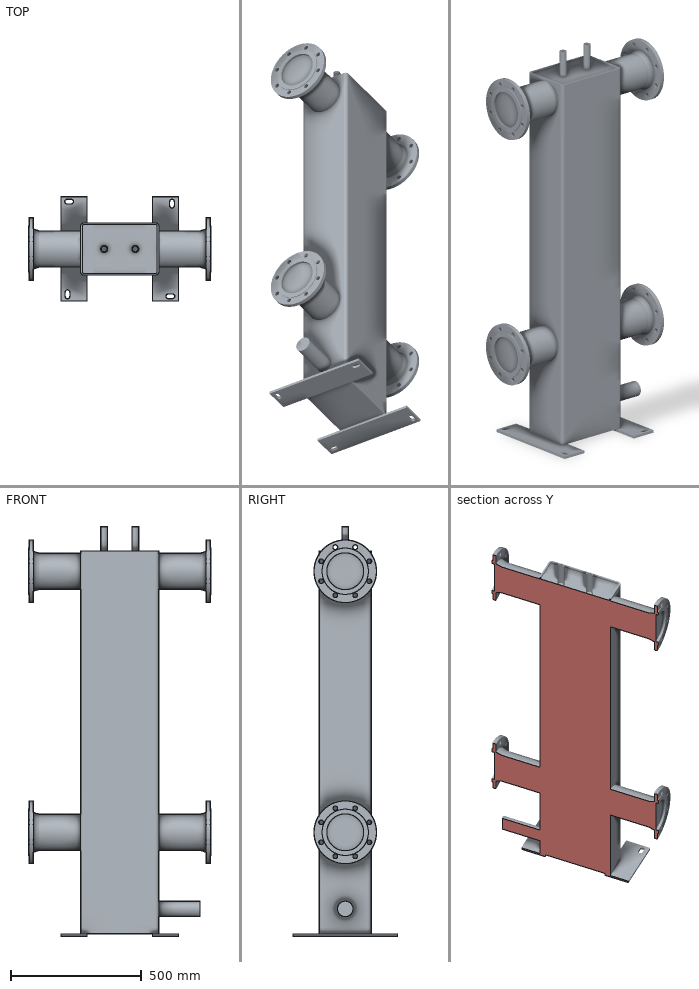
import cadquery as cq

BODY_LENGTH = 300.0
BODY_WIDTH = 200.0
BODY_TOP = 1477.0
CORNER_RADIUS = 13.0
WALL = 6.0
LID_RECESS = 8.0

STRIP_LENGTH = 400.0
STRIP_WIDTH = 100.0
STRIP_THICKNESS = 10.0
STRIP_SPAN = 450.0
SLOT_LENGTH = 33.0
SLOT_DIAMETER = 17.0
CROSS_SLOT_INSETS = (31.0, 19.0)
LONG_SLOT_INSETS = (25.0, 27.0)

NOZZLE_SPAN = 700.0
LOWER_NOZZLE_Z = 399.0
NOZZLE_PITCH = 1000.0
PIPE_DIAMETER = 140.0
FACE_DIAMETER = 177.0
FACE_HEIGHT = 3.0
FLANGE_DIAMETER = 240.0
FLANGE_THICKNESS = 15.0
NECK_DIAMETER = 154.0
NECK_LENGTH = 22.0
PORT_DIAMETER = 141.0
PORT_DEPTH = 10.0
NOZZLE_LEVELS = 2
BOLT_COUNT = 8
BOLT_CIRCLE = 200.0
BOLT_HOLE_DIAMETER = 17.0

VENT_TOP = 1570.0
VENT_COUNT = 2
VENT_SPACING = 120.0
VENT_DIAMETER = 27.0
VENT_BORE = 22.0

DRAIN_DIAMETER = 60.0
DRAIN_END_X = 308.0
DRAIN_Z = 105.0

LID_Z = BODY_TOP - LID_RECESS
INNER_WALL_X = BODY_LENGTH / 2 - WALL


def make_body():
    body = (
        cq.Workplane("XY", origin=(0, 0, STRIP_THICKNESS))
        .rect(BODY_LENGTH, BODY_WIDTH)
        .extrude(BODY_TOP - STRIP_THICKNESS)
        .edges("|Z")
        .fillet(CORNER_RADIUS)
    )
    recess = (
        cq.Workplane("XY", origin=(0, 0, LID_Z))
        .rect(BODY_LENGTH - 2 * WALL, BODY_WIDTH - 2 * WALL)
        .extrude(LID_RECESS)
        .edges("|Z")
        .fillet(CORNER_RADIUS - WALL)
    )
    return body.cut(recess)


def make_left_strip():
    outer_x = -STRIP_SPAN / 2
    end_y = STRIP_LENGTH / 2
    strip = cq.Workplane("XY", origin=(outer_x + STRIP_WIDTH / 2, 0, 0)).box(
        STRIP_WIDTH, STRIP_LENGTH, STRIP_THICKNESS, centered=(True, True, False)
    )
    cross_x, cross_y = CROSS_SLOT_INSETS
    long_x, long_y = LONG_SLOT_INSETS
    cross_slot = (
        cq.Workplane("XY", origin=(outer_x + cross_x, end_y - cross_y, 0))
        .slot2D(SLOT_LENGTH, SLOT_DIAMETER)
        .extrude(STRIP_THICKNESS)
    )
    long_slot = (
        cq.Workplane("XY", origin=(outer_x + long_x, long_y - end_y, 0))
        .slot2D(SLOT_LENGTH, SLOT_DIAMETER, 90)
        .extrude(STRIP_THICKNESS)
    )
    return strip.cut(cross_slot).cut(long_slot)


def make_left_nozzle(z):
    """Half profile turned about the nozzle axis, running from inside the body wall out to -X."""
    face_x = -NOZZLE_SPAN / 2
    flange_x = face_x + FACE_HEIGHT
    flange_back_x = flange_x + FLANGE_THICKNESS
    neck_end_x = flange_back_x + NECK_LENGTH
    port_floor_x = face_x + PORT_DEPTH
    nozzle = (
        cq.Workplane("XY", origin=(0, 0, z))
        .moveTo(-INNER_WALL_X, 0)
        .lineTo(port_floor_x, 0)
        .lineTo(port_floor_x, PORT_DIAMETER / 2)
        .lineTo(face_x, PORT_DIAMETER / 2)
        .lineTo(face_x, FACE_DIAMETER / 2)
        .lineTo(flange_x, FACE_DIAMETER / 2)
        .lineTo(flange_x, FLANGE_DIAMETER / 2)
        .lineTo(flange_back_x, FLANGE_DIAMETER / 2)
        .lineTo(flange_back_x, NECK_DIAMETER / 2)
        .lineTo(neck_end_x, PIPE_DIAMETER / 2)
        .lineTo(-INNER_WALL_X, PIPE_DIAMETER / 2)
        .close()
        .revolve(360, (0, 0, 0), (1, 0, 0))
    )
    bolt_holes = (
        cq.Workplane("YZ", origin=(flange_x, 0, z))
        .polarArray(BOLT_CIRCLE / 2, 180 / BOLT_COUNT, 360, BOLT_COUNT)
        .circle(BOLT_HOLE_DIAMETER / 2)
        .extrude(FLANGE_THICKNESS)
    )
    return nozzle.cut(bolt_holes)


def make_vents():
    return (
        cq.Workplane("XY", origin=(0, 0, LID_Z))
        .rarray(VENT_SPACING, 15, VENT_COUNT, 1)
        .circle(VENT_DIAMETER / 2)
        .circle(VENT_BORE / 2)
        .extrude(VENT_TOP - LID_Z)
    )


def make_drain():
    return (
        cq.Workplane("YZ", origin=(INNER_WALL_X, 0, DRAIN_Z))
        .circle(DRAIN_DIAMETER / 2)
        .extrude(DRAIN_END_X - INNER_WALL_X)
    )


def with_half_turn(part):
    """The part together with its copy turned half way round the Z axis."""
    return part.union(part.rotate((0, 0, 0), (0, 0, 1), 180))


result = make_body().union(with_half_turn(make_left_strip()))
for level in range(NOZZLE_LEVELS):
    result = result.union(with_half_turn(make_left_nozzle(LOWER_NOZZLE_Z + level * NOZZLE_PITCH)))
result = result.union(make_vents()).union(make_drain())